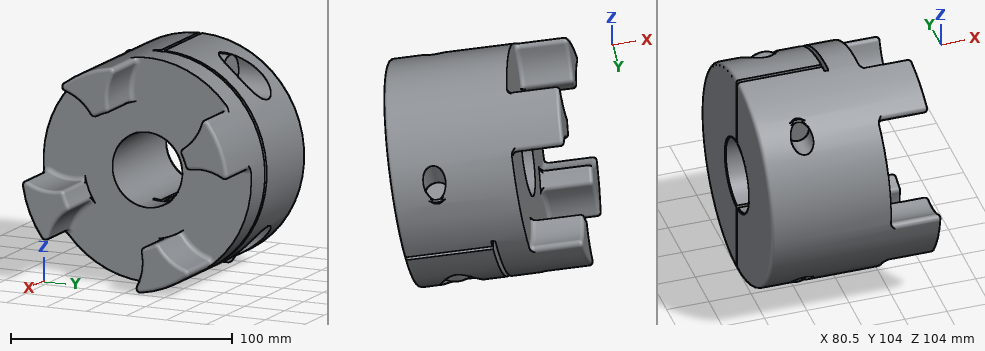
import cadquery as cq
import math

OUTER_RADIUS = 52.0
TOTAL_LENGTH = 80.5
JAW_LENGTH = 24.0
FLOOR_X = TOTAL_LENGTH - JAW_LENGTH
RIM_RADIUS = 1.6
BORE_RADIUS = 17.5
BORE_CHAMFER = 0.5

CLAMP_LENGTH = 40.2
SLIT_WIDTH = 2.0
SLIT_DEPTH_PAST_AXIS = 4.2
SLIT_CORNER_RADIUS = 0.5
SPLIT_GAP = 1.9
HALF_GAP = SPLIT_GAP / 2

JAW_COUNT = 4
FIRST_LOBE_ANGLE = 67.5
LOBE_RADIUS = 23.9
LOBE_CENTRE = 40.2
JAW_INNER_RADIUS = 31.7
JAW_CORNER_RADIUS = 2.0
JAW_ROOT_RADIUS = 2.3
JAW_TIP_RADIUS = 1.8

SCREW_X = 20.0
SCREW_Z = 39.0
SCREW_RADIUS = 6.0
SCREW_HEAD_RADIUS = 8.9
SCREW_HEAD_LENGTH = 12.0
SCREW_HEAD_END_Y = 23.8
SCREW_SEAT_Y = SCREW_HEAD_END_Y - SCREW_HEAD_LENGTH
SCREW_TIP_Y = -28.0
SCREW_TIP_CHAMFER = 0.8
COUNTERBORE_RADIUS = 9.6
TAP_DRILL_RADIUS = 5.1

MARGIN = 5.2
REACH = OUTER_RADIUS + MARGIN


def cylinder_x(radius, start, end):
    return cq.Workplane("YZ", origin=(start, 0, 0)).circle(radius).extrude(end - start)


def cylinder_y(radius, start, end, side):
    """Cylinder on the screw axis; side is +1 above the bore and -1 below it."""
    plane = cq.Plane(origin=(SCREW_X, start, side * SCREW_Z), xDir=(1, 0, 0), normal=(0, 1, 0))
    return cq.Workplane(plane).circle(radius).extrude(end - start)


def block(x_range, y_range, z_range):
    sizes = [end - start for start, end in (x_range, y_range, z_range)]
    corner = (x_range[0], y_range[0], z_range[0])
    return cq.Workplane("XY", origin=corner).box(*sizes, centered=False)


def screw_shank(side):
    shank = cylinder_y(SCREW_RADIUS, SCREW_TIP_Y, SCREW_SEAT_Y, side)
    return shank.faces("<Y").edges().chamfer(SCREW_TIP_CHAMFER)


def flat(point):
    return (point.x, point.y)


def mirrored(point):
    return (point.x, -point.y)


def lobe():
    """Round gap between two jaws, flaring tangentially into the outer cylinder; centred on +Y."""
    corner_distance = OUTER_RADIUS - JAW_CORNER_RADIUS
    tangent_distance = LOBE_RADIUS + JAW_CORNER_RADIUS
    squares = corner_distance**2 + LOBE_CENTRE**2 - tangent_distance**2
    angle = math.acos(squares / (2 * corner_distance * LOBE_CENTRE))
    along, across = math.cos(angle), math.sin(angle)

    corner = cq.Vector(corner_distance * along, corner_distance * across)
    to_lobe = (cq.Vector(LOBE_CENTRE, 0) - corner).normalized()
    outward = cq.Vector(along, across)
    lobe_end = corner + to_lobe * JAW_CORNER_RADIUS
    rim_end = corner + outward * JAW_CORNER_RADIUS
    corner_middle = corner + (to_lobe + outward).normalized() * JAW_CORNER_RADIUS
    flare_end = rim_end + cq.Vector(-across, along) * MARGIN
    outer_side = REACH + MARGIN

    return (
        cq.Workplane("YZ", origin=(FLOOR_X, 0, 0))
        .moveTo(outer_side, flare_end.y)
        .lineTo(*flat(flare_end))
        .lineTo(*flat(rim_end))
        .threePointArc(flat(corner_middle), flat(lobe_end))
        .threePointArc((LOBE_CENTRE - LOBE_RADIUS, 0), mirrored(lobe_end))
        .threePointArc(mirrored(corner_middle), mirrored(rim_end))
        .lineTo(*mirrored(flare_end))
        .lineTo(outer_side, -flare_end.y)
        .close()
        .extrude(JAW_LENGTH)
    )


def jaw_gaps():
    """Everything to remove between the jaws."""
    centre = cylinder_x(JAW_INNER_RADIUS, FLOOR_X, TOTAL_LENGTH)
    gaps = centre
    for i in range(JAW_COUNT):
        angle = FIRST_LOBE_ANGLE + i * 360 / JAW_COUNT
        gaps = gaps.union(lobe().rotate((0, 0, 0), (1, 0, 0), angle))
    inner_corners = cq.selectors.BoxSelector(
        (FLOOR_X, -JAW_INNER_RADIUS, -JAW_INNER_RADIUS),
        (TOTAL_LENGTH, JAW_INNER_RADIUS, JAW_INNER_RADIUS),
    )
    gaps = gaps.edges("|X").edges(inner_corners).fillet(JAW_CORNER_RADIUS)

    gaps = gaps.faces("<X").edges().fillet(JAW_ROOT_RADIUS)
    return gaps.union(centre)


def hub_blank():
    """Complete jawed hub before it is split."""
    blank = cylinder_x(OUTER_RADIUS, 0, TOTAL_LENGTH).faces("<X").edges().fillet(RIM_RADIUS)
    blank = blank.cut(jaw_gaps())
    blank = blank.faces(">X").edges().fillet(JAW_TIP_RADIUS)
    blank = blank.cut(cylinder_x(BORE_RADIUS, 0, FLOOR_X))
    bore_mouth = cq.selectors.RadiusNthSelector(0)
    return blank.faces("<X").edges(bore_mouth).chamfer(BORE_CHAMFER)


def make_clamp(blank):
    clamp = blank.intersect(block((0, CLAMP_LENGTH), (HALF_GAP, REACH), (-REACH, REACH)))
    for side in (1, -1):
        clamp = clamp.cut(cylinder_y(SCREW_RADIUS, 0, SCREW_SEAT_Y, side))
        clamp = clamp.cut(cylinder_y(COUNTERBORE_RADIUS, SCREW_SEAT_Y, REACH, side))
    return clamp


def make_hub(blank):
    clamp_space = block((-MARGIN, CLAMP_LENGTH), (-HALF_GAP, REACH), (-REACH, REACH))
    slit_end = CLAMP_LENGTH + SLIT_WIDTH
    slit = block((CLAMP_LENGTH, slit_end), (-SLIT_DEPTH_PAST_AXIS, REACH), (-REACH, REACH))
    slit = slit.edges("|Z and <Y").fillet(SLIT_CORNER_RADIUS)
    hub = blank.cut(clamp_space).cut(slit)
    for side in (1, -1):
        hub = hub.cut(screw_shank(side))
        hub = hub.cut(cylinder_y(TAP_DRILL_RADIUS, -REACH, SCREW_TIP_Y, side))
    return hub


def make_screw(side):
    head = cylinder_y(SCREW_HEAD_RADIUS, SCREW_SEAT_Y, SCREW_HEAD_END_Y, side)
    return screw_shank(side).union(head)


blank = hub_blank()
hub = make_hub(blank)
clamp = make_clamp(blank)
screws = [make_screw(side) for side in (1, -1)]

result = cq.Compound.makeCompound([hub.val(), clamp.val(), *[screw.val() for screw in screws]])